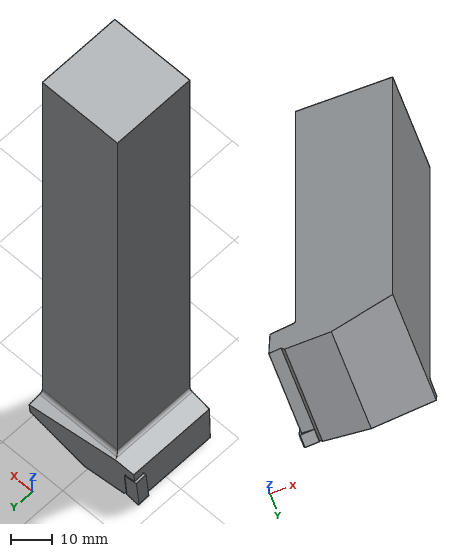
import cadquery as cq
import math

SHANK_SIDE = 25.0
TOTAL_HEIGHT = 151.4

SHOULDER_Z = 15.5
SHOULDER_ANGLE = 15.0
HEAD_TOP_X = -6.5
HEAD_LOW_X = -6.8
HEAD_LOW_Z = 1.5
NOTCH_X = -3.6
NOTCH_Z = 2.3
BOTTOM_START = (-2.7, 0.8)
BOTTOM_END = (9.2, 1.4)
BEVEL_END_Z = 11.4
ROOT_RADIUS = 1.14

HEAD_DEPTH = 29.5
LEDGE_ANGLE = 10.0
FLANK_RISE_X = 0.106
FLANK_RISE_Z = 0.08

INSERT_THICKNESS = 3.3
INSERT_PROUD = 0.23
INSERT_TOP_Z = 10.6
INSERT_TOP_X = -7.3
TOTAL_WIDTH = 32.4
EDGE_Z = 0.6
TIP_X = -7.1
RAKE_END_Z = 1.8

REACH = 60.5

edge_x = SHANK_SIDE - TOTAL_WIDTH
ledge_end_z = SHOULDER_Z - (HEAD_DEPTH - SHANK_SIDE) * math.tan(math.radians(LEDGE_ANGLE))


def extrude_along_y(points, depth):
    """Solid with an XZ outline, running from Y = 0 to Y = depth."""
    return cq.Workplane("XZ").polyline(points).close().extrude(-depth)


def behind_flank(offset):
    """Block behind a plane parallel to the flank, moved towards -Y by offset."""
    plane = cq.Plane(
        origin=(SHANK_SIDE, HEAD_DEPTH, ledge_end_z),
        xDir=(1, FLANK_RISE_X, 0),
        normal=(-FLANK_RISE_X, 1, -FLANK_RISE_Z),
    )
    return cq.Workplane(plane).workplane(offset=-offset).rect(2 * REACH, 2 * REACH).extrude(REACH)


def above_ledge():
    """Space behind the shank and above the rear ledge, with its rounded root."""
    rear_y = SHANK_SIDE + REACH
    rear_z = SHOULDER_Z - REACH * math.tan(math.radians(LEDGE_ANGLE))
    outline = [
        (SHANK_SIDE, SHOULDER_Z),
        (rear_y, rear_z),
        (rear_y, TOTAL_HEIGHT),
        (SHANK_SIDE, TOTAL_HEIGHT),
    ]
    space = cq.Workplane("YZ").workplane(offset=-REACH).polyline(outline).close().extrude(2 * REACH)
    root = cq.selectors.NearestToPointSelector((0, SHANK_SIDE, SHOULDER_Z))
    return space.edges(root).fillet(ROOT_RADIUS)


def make_insert():
    """Slab of even thickness, leaning with the flank about its tip."""
    outline = [
        (INSERT_TOP_X, INSERT_TOP_Z),
        (edge_x, EDGE_Z),
        (TIP_X, 0),
        (NOTCH_X, RAKE_END_Z),
        (NOTCH_X, INSERT_TOP_Z),
    ]
    flank_y = HEAD_DEPTH + FLANK_RISE_X * (TIP_X - SHANK_SIDE) - FLANK_RISE_Z * ledge_end_z
    tip_y = flank_y + INSERT_PROUD
    lean = math.degrees(math.atan(FLANK_RISE_Z))
    bar = extrude_along_y(outline, REACH).rotate((0, tip_y, 0), (1, tip_y, 0), -lean)
    return bar.intersect(behind_flank(INSERT_THICKNESS - INSERT_PROUD)).cut(behind_flank(-INSERT_PROUD))


def make_holder(insert):
    shoulder_low_z = SHOULDER_Z + HEAD_TOP_X * math.tan(math.radians(SHOULDER_ANGLE))
    outline = [
        (0, TOTAL_HEIGHT),
        (0, SHOULDER_Z),
        (HEAD_TOP_X, shoulder_low_z),
        (HEAD_LOW_X, HEAD_LOW_Z),
        (NOTCH_X, NOTCH_Z),
        BOTTOM_START,
        BOTTOM_END,
        (SHANK_SIDE, BEVEL_END_Z),
        (SHANK_SIDE, TOTAL_HEIGHT),
    ]
    body = extrude_along_y(outline, HEAD_DEPTH)
    root = cq.selectors.NearestToPointSelector((0, HEAD_DEPTH / 2, SHOULDER_Z))
    body = body.edges(root).fillet(ROOT_RADIUS)
    return body.cut(above_ledge()).cut(behind_flank(0)).cut(insert)


insert = make_insert()
holder = make_holder(insert)

result = cq.Compound.makeCompound([holder.val(), insert.val()])